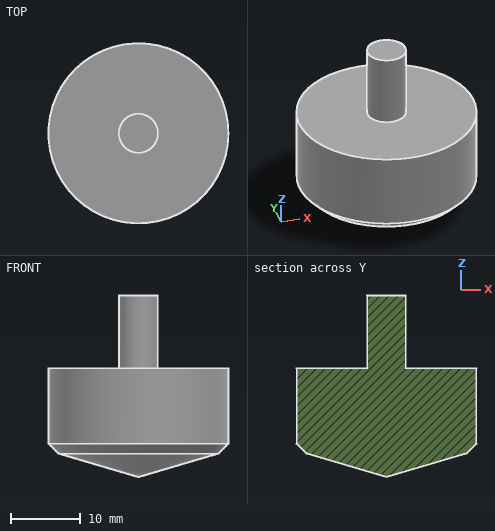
import cadquery as cq

total_height = 26.1
body_diameter = 25.9
stem_diameter = 5.6
stem_length = 10.45
chamfer_size = 1.44
cone_height = 3.4

body_radius = body_diameter / 2
stem_radius = stem_diameter / 2
cone_radius = body_radius - chamfer_size
body_bottom = cone_height + chamfer_size
body_top = total_height - stem_length

half_profile = (
    cq.Workplane("XZ")
    .moveTo(0, 0)
    .lineTo(cone_radius, cone_height)
    .lineTo(body_radius, body_bottom)
    .lineTo(body_radius, body_top)
    .lineTo(stem_radius, body_top)
    .lineTo(stem_radius, total_height)
    .lineTo(0, total_height)
    .close()
)

result = half_profile.revolve(360, (0, 0, 0), (0, 1, 0))